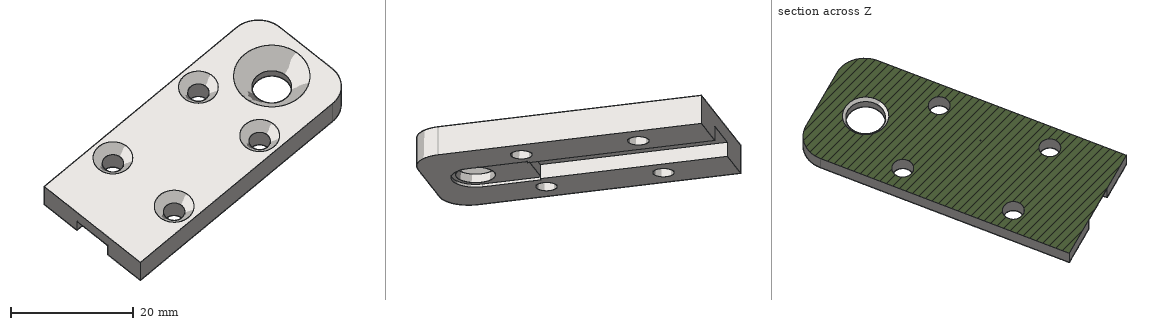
import cadquery as cq

width = 22
length = 50
thickness = 5
corner_radius = 5

main_hole_diameter = 6.5
main_sink_diameter = 12.5
main_hole_y = 42

screw_diameter = 3.5
screw_sink_diameter = 6.5
screw_spacing_x = 14
screw_spacing_y = 20
screw_centre_y = 22

countersink_angle = 90

slot_width = 7
slot_depth = 2.5
slot_length = screw_centre_y + screw_spacing_y / 2
recess_width = 8
recess_depth = 0.5


def make_plate():
    plate = cq.Workplane("XY").box(width, length, thickness, centered=(True, False, False))
    return plate.edges("|Z and >Y").fillet(corner_radius)


def cut_countersunk_holes(body, points, diameter, sink_diameter):
    top = body.faces(">Z").workplane(origin=(0, 0, thickness))
    return top.pushPoints(points).cskHole(diameter, sink_diameter, countersink_angle)


def make_slot():
    return cq.Workplane("XY").box(slot_width, slot_length, slot_depth, centered=(True, False, False))


def make_recess():
    straight_length = main_hole_y - slot_length
    straight = cq.Workplane("XY").box(recess_width, straight_length, recess_depth, centered=(True, False, False))
    round_end = cq.Workplane("XY").center(0, main_hole_y).circle(recess_width / 2).extrude(recess_depth)
    return straight.translate((0, slot_length, 0)).union(round_end)


screw_points = [
    (side_x * screw_spacing_x / 2, screw_centre_y + side_y * screw_spacing_y / 2)
    for side_x in (-1, 1)
    for side_y in (-1, 1)
]

result = make_plate()
result = cut_countersunk_holes(result, [(0, main_hole_y)], main_hole_diameter, main_sink_diameter)
result = cut_countersunk_holes(result, screw_points, screw_diameter, screw_sink_diameter)
result = result.cut(make_slot()).cut(make_recess())